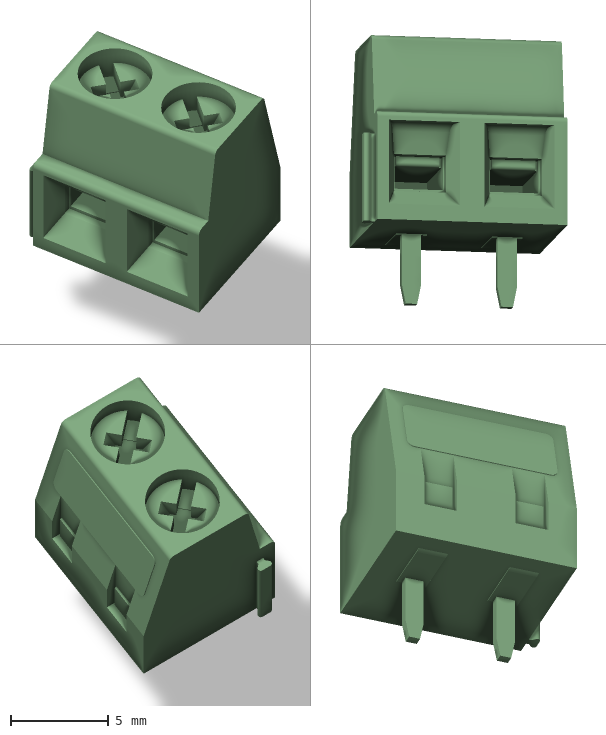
import cadquery as cq
import math


PITCH = 5.0
POLE_X = (-PITCH / 2, PITCH / 2)
WIDTH = 9.92
DEPTH = 8.15
HEIGHT = 9.95
SHELF_Z = 5.68
SHELF_DEPTH = 0.93
TOP_FRONT_Y = 1.66
TOP_BACK_Y = 6.48
BACK_SLOPE_Z = 3.72
EDGE_RADIUS = 0.3

RIB_REACH = 0.6
RIB_HEIGHT = 4.6
RIB_Y = 0.93
RIB_NECK_HALF = 0.2
RIB_ROUND = 0.16
RIB_FACE_HALF = 0.25

ENTRY_HALF_WIDTH = 1.86
LAST_ENTRY_RIGHT_HALF_WIDTH = 1.77
ENTRY_BOTTOM_Z = 0.82
ENTRY_TOP_Z = 5.2
CEILING_CORNER_Y = 0.88
CEILING_RADIUS = 0.5
FUNNEL_DEPTH = 1.33
THROAT_HALF_WIDTH = 1.36
THROAT_BOTTOM_Z = 1.74
THROAT_TOP_Z = 3.67

SCREW_Y = 4.07
CAGE_FRONT_Y = 1.75
CAGE_LENGTH = 2 * (SCREW_Y - CAGE_FRONT_Y)
CAGE_WALL = 0.5
WINDOW_WIDTH = 2.53
WINDOW_BOTTOM_Z = 1.94
CAGE_WIDTH = WINDOW_WIDTH + 2 * CAGE_WALL
CAGE_BOTTOM_Z = WINDOW_BOTTOM_Z - CAGE_WALL
CAGE_TOP_Z = 5.4

PIN_THICKNESS = 0.5
CONTACT_BOTTOM_Z = 3.18
CONTACT_TOP_Z = CONTACT_BOTTOM_Z + PIN_THICKNESS
CONTACT_FRONT_Y = 2.2
NOSE_WIDTH = 2.27
NOSE_LENGTH = 0.25
NOSE_RADIUS = 0.17
STRIP_WIDTH = 1.6
STRIP_BACK_Y = 7.74
STRIP_BOTTOM_Z = -0.05
STRIP_BEND_RADIUS = 1.0
LEG_WIDTH = 1.0
LEG_TIP_WIDTH = 0.6
LEG_TAPER_Z = -2.65
LEG_TIP_Z = -3.65
LEG_FRONT_Y = SCREW_Y - PIN_THICKNESS / 2

HEAD_RADIUS = 1.92
HEAD_RECESS = 1.0
HEAD_THICKNESS = 1.5
HEAD_TOP_Z = HEIGHT - HEAD_RECESS
HEAD_BOTTOM_Z = HEAD_TOP_Z - HEAD_THICKNESS
SHANK_RADIUS = 1.25
CROSS_DEPTH = 1.0
CROSS_REACH = 1.2
CROSS_FLOOR_REACH = 0.72
SLOT_WIDTH = 0.76
CROSS_FLOOR_WIDTH = 0.62
SLOT_DEPTH = 0.95
DRIVE_ANGLE = 45

NOTCH_WIDTH = 1.8
NOTCH_DEPTH = 0.54
NOTCH_FLOOR_Z = 2.0
LABEL_WIDTH = 8.26
LABEL_BOTTOM_Z = 5.8
LABEL_TOP_Z = 8.85
LABEL_THICKNESS = 0.06
LABEL_CORNER_RADIUS = 0.4


def block(x_size, y_range, z_range):
    """Box centred on X = 0 that spans the given Y and Z ranges."""
    y_size = y_range[1] - y_range[0]
    z_size = z_range[1] - z_range[0]
    box = cq.Workplane("XY").box(x_size, y_size, z_size, centered=(True, False, False))
    return box.translate((0, y_range[0], z_range[0]))


def housing_shell():
    """Side profile swept over the width, with rounded upper edges."""
    profile = [
        (0, 0),
        (0, SHELF_Z),
        (SHELF_DEPTH, SHELF_Z),
        (TOP_FRONT_Y, HEIGHT),
        (TOP_BACK_Y, HEIGHT),
        (DEPTH, BACK_SLOPE_Z),
        (DEPTH, 0),
    ]
    shell = cq.Workplane("YZ").polyline(profile).close().extrude(WIDTH / 2, both=True)
    top_edges = shell.faces(">Z").edges("|X")
    shelf_edge = shell.edges(cq.selectors.NearestToPointSelector((0, 0, SHELF_Z)))
    return shell.newObject(top_edges.vals() + shelf_edge.vals()).fillet(EDGE_RADIUS)


def coupling_rib():
    """Upright rib on the left side: a narrow neck with a wider rounded head."""
    face_x = -RIB_REACH
    round_x = face_x + RIB_ROUND
    flank_angle = math.radians(45)
    middle_angle = (flank_angle + math.pi) / 2
    flank_x = round_x + RIB_ROUND * math.cos(flank_angle)
    flank_y = RIB_FACE_HALF + RIB_ROUND * math.sin(flank_angle)
    middle_x = round_x + RIB_ROUND * math.cos(middle_angle)
    middle_y = RIB_FACE_HALF + RIB_ROUND * math.sin(middle_angle)
    neck_x = flank_x + (flank_y - RIB_NECK_HALF) * math.tan(flank_angle)
    rib = (
        cq.Workplane("XY")
        .moveTo(0, RIB_NECK_HALF)
        .lineTo(neck_x, RIB_NECK_HALF)
        .lineTo(flank_x, flank_y)
        .threePointArc((middle_x, middle_y), (face_x, RIB_FACE_HALF))
        .lineTo(face_x, 0)
        .lineTo(0, 0)
        .close()
        .extrude(RIB_HEIGHT)
    )
    rib = rib.union(rib.mirror("XZ"))
    return rib.translate((-WIDTH / 2, RIB_Y, 0))


def label_plate():
    """Thin raised plate with rounded corners on the sloped back face."""
    slope_run = DEPTH - TOP_BACK_Y
    slope_rise = HEIGHT - BACK_SLOPE_Z
    middle_z = (LABEL_BOTTOM_Z + LABEL_TOP_Z) / 2
    middle_y = DEPTH - (middle_z - BACK_SLOPE_Z) * slope_run / slope_rise
    length = (LABEL_TOP_Z - LABEL_BOTTOM_Z) * math.hypot(slope_run, slope_rise) / slope_rise
    slope = cq.Plane(origin=(0, middle_y, middle_z), xDir=(1, 0, 0), normal=(0, slope_rise, slope_run))
    plate = cq.Workplane(slope).box(LABEL_WIDTH, length, 2 * LABEL_THICKNESS)
    return plate.edges(cq.selectors.ParallelDirSelector(slope.zDir)).fillet(LABEL_CORNER_RADIUS)


def wire_entry(right_half_width):
    """Funnel that narrows to the throat, with a curved ceiling, and the throat up to the cage."""
    side_profile = [
        (0, ENTRY_BOTTOM_Z),
        (FUNNEL_DEPTH, THROAT_BOTTOM_Z),
        (FUNNEL_DEPTH, THROAT_TOP_Z),
        (CEILING_CORNER_Y, ENTRY_TOP_Z),
        (0, ENTRY_TOP_Z),
    ]
    plan = [
        (-ENTRY_HALF_WIDTH, 0),
        (right_half_width, 0),
        (THROAT_HALF_WIDTH, FUNNEL_DEPTH),
        (-THROAT_HALF_WIDTH, FUNNEL_DEPTH),
    ]
    side = cq.Workplane("YZ").polyline(side_profile).close().extrude(ENTRY_HALF_WIDTH, both=True)
    ceiling_corner = cq.selectors.NearestToPointSelector((0, CEILING_CORNER_Y, ENTRY_TOP_Z))
    side = side.edges(ceiling_corner).fillet(CEILING_RADIUS)
    funnel = side.intersect(cq.Workplane("XY").polyline(plan).close().extrude(HEIGHT))
    throat = block(2 * THROAT_HALF_WIDTH, (FUNNEL_DEPTH, CAGE_FRONT_Y), (THROAT_BOTTOM_Z, THROAT_TOP_Z))
    return funnel.union(throat)


def cage_envelope():
    return block(CAGE_WIDTH, (CAGE_FRONT_Y, CAGE_FRONT_Y + CAGE_LENGTH), (CAGE_BOTTOM_Z, CAGE_TOP_Z))


def screw_cylinder(radius, bottom_z, top_z):
    return cq.Workplane("XY", origin=(0, SCREW_Y, bottom_z)).circle(radius).extrude(top_z - bottom_z)


def make_cage():
    """Clamp cage: a block with a window from front to back and a screw hole in its top."""
    window = block(WINDOW_WIDTH, (0, DEPTH), (WINDOW_BOTTOM_Z, CONTACT_TOP_Z))
    screw_hole = screw_cylinder(SHANK_RADIUS, CONTACT_TOP_Z, CAGE_TOP_Z)
    return cage_envelope().cut(window).cut(screw_hole)


def make_screw():
    """Screw with a straight slot, slightly deeper in the middle, crossed by a tapered arm."""
    head = screw_cylinder(HEAD_RADIUS, HEAD_BOTTOM_Z, HEAD_TOP_Z)
    shank = screw_cylinder(SHANK_RADIUS, CONTACT_TOP_Z, HEAD_BOTTOM_Z)
    slot = cq.Workplane("XY").box(SLOT_WIDTH, 2 * HEAD_RADIUS, 2 * SLOT_DEPTH)
    slot_step = cq.Workplane("XY").box(SLOT_WIDTH, 2 * CROSS_FLOOR_REACH, 2 * CROSS_DEPTH)
    cross_arm = (
        cq.Workplane("XY")
        .rect(2 * CROSS_REACH, SLOT_WIDTH)
        .workplane(offset=-CROSS_DEPTH)
        .rect(2 * CROSS_FLOOR_REACH, CROSS_FLOOR_WIDTH)
        .loft(ruled=True)
    )
    drive = slot.union(slot_step).union(cross_arm)
    drive = drive.rotate((0, 0, 0), (0, 0, 1), DRIVE_ANGLE).translate((0, SCREW_Y, HEAD_TOP_Z))
    return head.union(shank).cut(drive)


def make_pin():
    """Bent strip: contact plate with a narrower nose, back strip, bottom strip and solder leg."""
    cage_back_y = CAGE_FRONT_Y + CAGE_LENGTH
    contact_z = (CONTACT_BOTTOM_Z, CONTACT_TOP_Z)
    contact = block(WINDOW_WIDTH, (CONTACT_FRONT_Y, cage_back_y), contact_z)
    nose = block(NOSE_WIDTH, (CONTACT_FRONT_Y - NOSE_LENGTH, CONTACT_FRONT_Y), contact_z)
    nose = nose.edges("<Y and <Z").fillet(NOSE_RADIUS)

    bend_outer = block(STRIP_WIDTH, (LEG_FRONT_Y, STRIP_BACK_Y), (STRIP_BOTTOM_Z, CONTACT_TOP_Z))
    bend_outer = bend_outer.edges(">Y and <Z").fillet(STRIP_BEND_RADIUS)
    bend_inner = block(
        STRIP_WIDTH,
        (0, STRIP_BACK_Y - PIN_THICKNESS),
        (STRIP_BOTTOM_Z + PIN_THICKNESS, CONTACT_BOTTOM_Z),
    )
    bend_inner = bend_inner.edges(">Y and <Z").fillet(STRIP_BEND_RADIUS - PIN_THICKNESS)
    strip = bend_outer.cut(bend_inner)
    above_contact = block(WINDOW_WIDTH, (0, cage_back_y), contact_z)
    strip = strip.cut(above_contact)

    leg_outline = [
        (-LEG_WIDTH / 2, 0),
        (-LEG_WIDTH / 2, LEG_TAPER_Z),
        (-LEG_TIP_WIDTH / 2, LEG_TIP_Z),
        (LEG_TIP_WIDTH / 2, LEG_TIP_Z),
        (LEG_WIDTH / 2, LEG_TAPER_Z),
        (LEG_WIDTH / 2, 0),
    ]
    leg_plane = cq.Workplane("XZ", origin=(0, LEG_FRONT_Y, 0))
    leg = leg_plane.polyline(leg_outline).close().extrude(-PIN_THICKNESS)
    return contact.union(nose).union(strip).union(leg)


def make_housing(cage_space, screw, pin):
    """Housing with a wire entry, back notch and matching recesses for each pole."""
    body = housing_shell().union(label_plate()).union(coupling_rib())
    notch = block(NOTCH_WIDTH, (DEPTH - NOTCH_DEPTH, DEPTH), (NOTCH_FLOOR_Z, LABEL_BOTTOM_Z))
    head_well = screw_cylinder(HEAD_RADIUS, HEAD_BOTTOM_Z, HEIGHT)
    shank_hole = screw_cylinder(SHANK_RADIUS, CONTACT_TOP_Z, HEAD_BOTTOM_Z)
    for x in POLE_X:
        is_last = x == POLE_X[-1]
        entry = wire_entry(LAST_ENTRY_RIGHT_HALF_WIDTH if is_last else ENTRY_HALF_WIDTH)
        for recess in (entry, cage_space, notch, head_well, shank_hole, pin):
            body = body.cut(recess.translate((x, 0, 0)))
    return body


cage = make_cage()
screw = make_screw()
pin = make_pin()
housing = make_housing(cage_envelope(), screw, pin)

bodies = [housing.solids().val()]
for x in POLE_X:
    for part in (cage, screw, pin):
        bodies.append(part.translate((x, 0, 0)).solids().val())

result = cq.Compound.makeCompound(bodies)